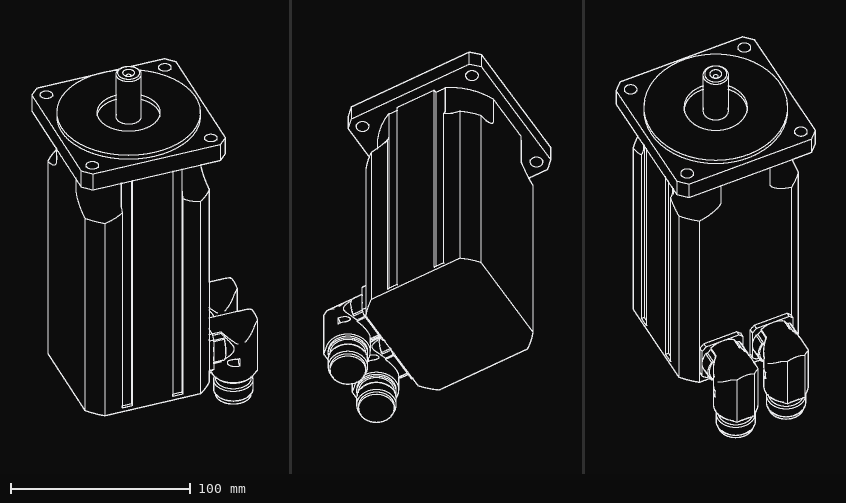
import cadquery as cq
import math


body_half = 37.1
body_corner_radius = 46.9
body_bottom = -174.2

relief_radius = 40.0
relief_bottom = -31.5
relief_fillet = 10.0

groove_depth = 1.8
groove_width = 6.1
groove_spacing = 30.1
groove_end_gap = 2.7

flange_side = 86.0
flange_thickness = 11.0
flange_chamfer = 5.0
screw_hole_diameter = 7.0
screw_hole_spacing = 70.7
pilot_diameter = 80.0
pilot_height = 2.7
recess_diameter = 35.0
recess_depth = 3.0

shaft_diameter = 14.0
shaft_top = 30.1
shaft_chamfer = 1.0
centre_hole_diameter = 2.7
centre_hole_depth = 6.8
countersink_diameter = 6.5
countersink_angle = 90

overall_height = 226.5
connector_spacing = 31.3
connector_y = 56.5
connector_z = -156.3
elbow_radius = 12.5
elbow_bottom = -179.6
dome_radius = 12.7
nose_half_width = 5.5
nose_tangent_y = 9.5
neck_radius = 11.8
rib_width = 14.5
flank_rib_setback = 9.3
plate_side = 2 * dome_radius
plate_thickness = 2.7
plate_chamfer = 2.5
notch_diameter = 5.0
notch_drop = 9.7
notch_offset = 1.0

nut_radius = 22.0 / 2
nut_neck_radius = 20.0 / 2
nut_collar_height = 1.5
nut_ring_top = -185.7
nut_ring_bottom = -194.3
nut_bottom = shaft_top - overall_height
nut_chamfer = nut_radius - nut_neck_radius


def cylinder(radius, bottom, top):
    """Cylinder on the motor axis between two heights."""
    return cq.Workplane("XY").workplane(offset=bottom).circle(radius).extrude(top - bottom)


def corner_relief():
    """Ring-shaped cutter outside the relief radius, flaring outwards at its foot."""
    foot_centre_r = relief_radius + relief_fillet
    foot_z = relief_bottom - relief_fillet
    arc_leg = relief_fillet * math.sqrt(0.5)
    outer_radius = body_corner_radius + relief_fillet
    return (
        cq.Workplane("XZ")
        .moveTo(relief_radius, -flange_thickness)
        .lineTo(relief_radius, relief_bottom)
        .threePointArc((foot_centre_r - arc_leg, relief_bottom - arc_leg), (foot_centre_r, foot_z))
        .lineTo(outer_radius, foot_z)
        .lineTo(outer_radius, -flange_thickness)
        .close()
        .revolve(360, (0, 0, 0), (0, 1, 0))
    )


def motor_body():
    """Square column with rounded corners, corner reliefs and side grooves."""
    height = -flange_thickness - body_bottom
    body = (
        cq.Workplane("XY")
        .workplane(offset=body_bottom)
        .rect(2 * body_half, 2 * body_half)
        .extrude(height)
        .intersect(cylinder(body_corner_radius, body_bottom, -flange_thickness))
        .cut(corner_relief())
    )
    side_places = [
        (side * body_half, row * groove_spacing / 2) for side in (-1, 1) for row in (-1, 1)
    ]
    grooves = (
        cq.Workplane("XY")
        .workplane(offset=body_bottom + groove_end_gap)
        .pushPoints(side_places)
        .rect(2 * groove_depth, groove_width)
        .extrude(height - groove_end_gap)
    )
    return body.cut(grooves)


def flange():
    """Square flange with four screw holes and a recessed round pilot."""
    plate = (
        cq.Workplane("XY")
        .workplane(offset=-flange_thickness)
        .rect(flange_side, flange_side)
        .extrude(flange_thickness)
        .edges("|Z")
        .chamfer(flange_chamfer)
        .faces(">Z")
        .workplane(origin=(0, 0, 0))
        .rect(screw_hole_spacing, screw_hole_spacing, forConstruction=True)
        .vertices()
        .hole(screw_hole_diameter)
    )
    pilot = cylinder(pilot_diameter / 2, 0, pilot_height)
    recess = cylinder(recess_diameter / 2, pilot_height - recess_depth, pilot_height)
    return plate.union(pilot).cut(recess)


def shaft():
    """Output shaft with a chamfered end and a countersunk centre hole."""
    return (
        cylinder(shaft_diameter / 2, -flange_thickness, shaft_top)
        .faces(">Z")
        .chamfer(shaft_chamfer)
        .faces(">Z")
        .workplane()
        .cskHole(centre_hole_diameter, countersink_diameter, countersink_angle, centre_hole_depth)
    )


def make_motor():
    """Motor column, flange and shaft as one solid."""
    return motor_body().union(flange()).union(shaft())


def along_y(radius, start_y, end_y):
    """Cylinder on the connector's horizontal axis."""
    return (
        cq.Workplane("XZ", origin=(0, end_y, connector_z))
        .circle(radius)
        .extrude(end_y - start_y)
    )


def rib_slab(width, height, end_y):
    """Block centred on the horizontal axis, from the motor out to end_y."""
    return (
        cq.Workplane("XZ", origin=(0, end_y, connector_z))
        .rect(width, height)
        .extrude(end_y - body_half)
    )


def elbow():
    """Flat-nosed vertical leg and top rib, both rounded about the horizontal axis."""
    nose_tangent_x = math.sqrt(elbow_radius**2 - nose_tangent_y**2)
    leg_height = connector_z + dome_radius - elbow_bottom
    leg = (
        cq.Workplane("XY", origin=(0, connector_y, elbow_bottom))
        .moveTo(nose_tangent_x, nose_tangent_y)
        .lineTo(nose_half_width, elbow_radius)
        .lineTo(-nose_half_width, elbow_radius)
        .lineTo(-nose_tangent_x, nose_tangent_y)
        .threePointArc((0, -elbow_radius), (nose_tangent_x, nose_tangent_y))
        .close()
        .extrude(leg_height)
    )
    top_rib = rib_slab(rib_width, dome_radius, connector_y).translate((0, 0, dome_radius / 2))
    below_axis = (
        cq.Workplane("XY", origin=(0, connector_y, elbow_bottom))
        .rect(2 * dome_radius, 2 * dome_radius)
        .extrude(connector_z - elbow_bottom)
    )
    dome = along_y(dome_radius, body_half, connector_y + dome_radius)
    return leg.union(top_rib).intersect(dome.union(below_axis))


def side_notches():
    """Round notches in both flanks of the elbow, open towards the motor."""
    return (
        cq.Workplane("XZ", origin=(0, connector_y - notch_offset, connector_z - notch_drop))
        .pushPoints([(-elbow_radius, 0), (elbow_radius, 0)])
        .circle(notch_diameter / 2)
        .extrude(elbow_radius)
    )


def neck():
    """Horizontal leg with ribs below and on both flanks, and a plate against the motor."""
    bottom_slab = rib_slab(rib_width, dome_radius, connector_y).translate((0, 0, -dome_radius / 2))
    flank_slab = rib_slab(2 * dome_radius, rib_width, connector_y - flank_rib_setback)
    ribs = along_y(dome_radius, body_half, connector_y).intersect(bottom_slab.union(flank_slab))
    plate = (
        cq.Workplane("XZ", origin=(0, body_half + plate_thickness, connector_z))
        .rect(plate_side, plate_side)
        .extrude(plate_thickness)
        .edges("|Y")
        .chamfer(plate_chamfer)
    )
    return along_y(neck_radius, body_half, connector_y).union(ribs).union(plate)


def cable_nut():
    """Turned nut: a thin collar, a waist and a chamfered grip ring."""
    collar_bottom = elbow_bottom - nut_collar_height
    return (
        cq.Workplane("XZ", origin=(0, connector_y, 0))
        .moveTo(0, elbow_bottom)
        .lineTo(nut_radius, elbow_bottom)
        .lineTo(nut_radius, collar_bottom)
        .lineTo(nut_neck_radius, collar_bottom)
        .lineTo(nut_neck_radius, nut_ring_top)
        .lineTo(nut_radius, nut_ring_top - nut_chamfer)
        .lineTo(nut_radius, nut_ring_bottom + nut_chamfer)
        .lineTo(nut_neck_radius, nut_ring_bottom)
        .lineTo(nut_neck_radius, nut_bottom)
        .lineTo(0, nut_bottom)
        .close()
        .revolve(360, (0, 0, 0), (0, 1, 0))
    )


def make_connector(x):
    """One angled connector, its axis placed at x."""
    connector = elbow().union(neck()).cut(side_notches()).union(cable_nut())
    return connector.translate((x, 0, 0))


motor = make_motor()
connectors = [make_connector(side * connector_spacing / 2) for side in (-1, 1)]

result = cq.Compound.makeCompound([motor.val(), *[connector.val() for connector in connectors]])